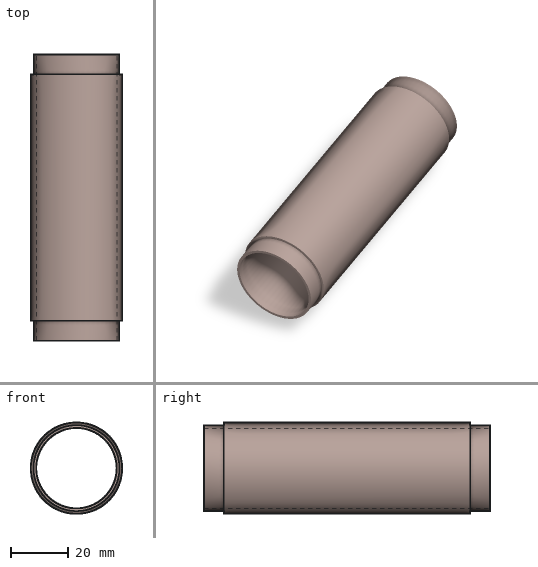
import cadquery as cq

total_length = 100.0
spigot_length = 7.0
body_diameter = 32.0
spigot_diameter = 30.0
bore_diameter = 28.0

body_length = total_length - 2 * spigot_length


def centred_cylinder(diameter, length):
    """Cylinder along Y, centred on the origin."""
    end_plane = cq.Workplane("XZ", origin=(0, length / 2, 0))
    return end_plane.circle(diameter / 2).extrude(length)


body = centred_cylinder(body_diameter, body_length)
spigots = centred_cylinder(spigot_diameter, total_length)

bore = centred_cylinder(bore_diameter, total_length)

result = body.union(spigots).cut(bore)